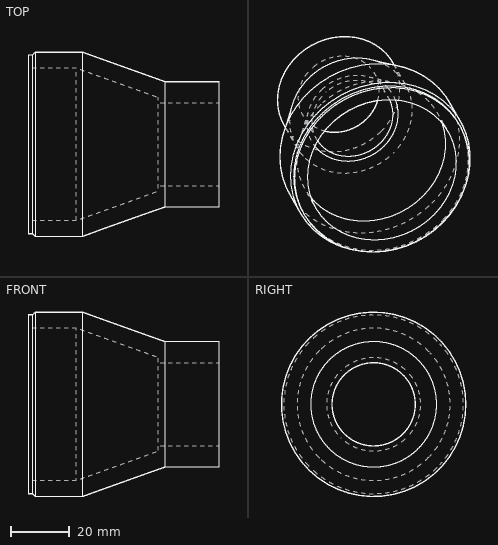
import cadquery as cq

length = 65.0
large_end_length = 18.45
small_end_length = 18.45
neck_x = length - small_end_length

bore_taper_offset = 2.3
bore_taper_start_x = large_end_length - bore_taper_offset
bore_taper_end_x = neck_x - bore_taper_offset

body_diameter = 63.0
lip_diameter = 61.15
neck_diameter = 42.9

large_bore_diameter = 52.1
taper_end_diameter = 32.0
small_bore_diameter = 28.35

lip_length = 1.4
bevel = (body_diameter - lip_diameter) / 2


def revolve_about_x(profile):
    return profile.close().revolve(360, (0, 0, 0), (1, 0, 0))


def make_outer_body():
    profile = (
        cq.Workplane("XY")
        .lineTo(0, lip_diameter / 2)
        .lineTo(lip_length, lip_diameter / 2)
        .lineTo(lip_length + bevel, body_diameter / 2)
        .lineTo(large_end_length, body_diameter / 2)
        .lineTo(neck_x, neck_diameter / 2)
        .lineTo(length, neck_diameter / 2)
        .lineTo(length, 0)
    )
    return revolve_about_x(profile)


def make_bore():
    profile = (
        cq.Workplane("XY")
        .lineTo(0, large_bore_diameter / 2)
        .lineTo(bore_taper_start_x, large_bore_diameter / 2)
        .lineTo(bore_taper_end_x, taper_end_diameter / 2)
        .lineTo(bore_taper_end_x, small_bore_diameter / 2)
        .lineTo(length, small_bore_diameter / 2)
        .lineTo(length, 0)
    )
    return revolve_about_x(profile)


result = make_outer_body().cut(make_bore())